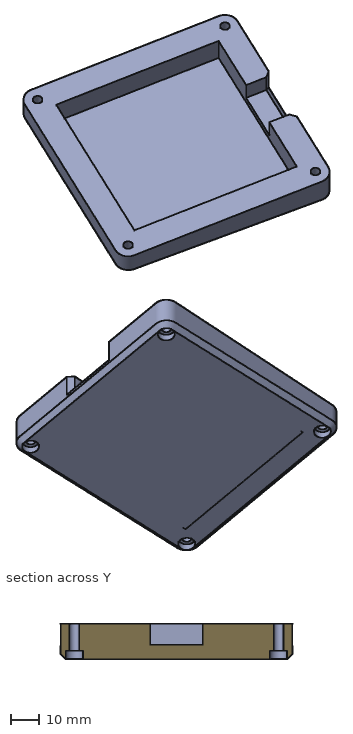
import cadquery as cq
import math

WIDTH = 82.91
LENGTH = 84.61
HEIGHT = 12.9
CORNER_RADIUS = 5.0

TILT_DEGREES = 2.0
BOTTOM_CHAMFER = 2.0

WALL = 10.0
POCKET_DEPTH = 10.0

SLOT_WIDTH = 18.6
SLOT_DEPTH = 7.5
SLOT_FLARE = 2.0

SCREW_DIAMETER = 3.4
HEAD_DIAMETER = 6.0
HEAD_DEPTH = 3.0
HEAD_CLEARANCE = 0.05
HOLE_INSET = BOTTOM_CHAMFER + HEAD_DIAMETER / 2 + HEAD_CLEARANCE

SLOPE = math.tan(math.radians(TILT_DEGREES))
REAR = LENGTH / 2
FRONT = -REAR
LOWEST_Y = REAR - BOTTOM_CHAMFER


def underside_z(y):
    """Height of the sloping underside at a given Y."""
    return (LOWEST_Y - y) * SLOPE


def make_body():
    """Rounded block with a sloping, chamfered underside."""
    side_profile = [
        (FRONT, underside_z(FRONT)),
        (REAR, underside_z(REAR)),
        (REAR, HEIGHT),
        (FRONT, HEIGHT),
    ]
    wedge = cq.Workplane("YZ").polyline(side_profile).close().extrude(WIDTH / 2, both=True)
    rounded = wedge.edges("|Z").fillet(CORNER_RADIUS)
    return rounded.faces("<Z").chamfer(BOTTOM_CHAMFER)


def make_pocket():
    """Rectangular recess open at the top."""
    floor_z = HEIGHT - POCKET_DEPTH
    return (
        cq.Workplane("XY", origin=(0, 0, floor_z))
        .rect(WIDTH - 2 * WALL, LENGTH - 2 * WALL)
        .extrude(POCKET_DEPTH)
    )


def make_slot():
    """Slot through the rear wall whose floor and sides flare out at the rear face."""
    floor_z = HEIGHT - SLOT_DEPTH
    straight = cq.Workplane("XY").box(SLOT_WIDTH, WALL, SLOT_DEPTH, centered=(True, False, False))
    straight = straight.translate((0, REAR - WALL, floor_z))

    narrow_height = 2 * SLOT_DEPTH
    wide_height = narrow_height + 2 * SLOT_FLARE
    flare = (
        cq.Workplane("XZ", origin=(0, REAR, HEIGHT))
        .rect(SLOT_WIDTH + 2 * SLOT_FLARE, wide_height)
        .workplane(offset=SLOT_FLARE)
        .rect(SLOT_WIDTH, narrow_height)
        .loft(ruled=True)
    )
    return straight.union(flare)


def make_screw_hole(x, y):
    """Through hole with a screw head recess in the underside, both rising from Z = 0."""
    shank = cq.Workplane("XY", origin=(x, y, 0)).circle(SCREW_DIAMETER / 2).extrude(HEIGHT)
    head_top = underside_z(y) + HEAD_DEPTH
    head = cq.Workplane("XY", origin=(x, y, 0)).circle(HEAD_DIAMETER / 2).extrude(head_top)
    return shank.union(head)


result = make_body().cut(make_pocket()).cut(make_slot())
hole_x = WIDTH / 2 - HOLE_INSET
hole_y = LENGTH / 2 - HOLE_INSET
for x in (-hole_x, hole_x):
    for y in (-hole_y, hole_y):
        result = result.cut(make_screw_hole(x, y))